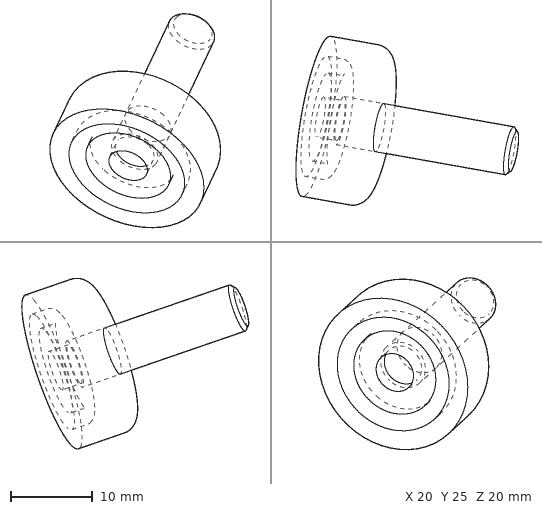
import cadquery as cq

TOTAL_LENGTH = 25.0

HEAD_RADIUS = 10.0
HEAD_LENGTH = 8.0
HEAD_BACK_FILLET = 2.0

GROOVE_OUTER_RADIUS = 7.5
HUB_RADIUS = 5.5
HUB_RECESS = 0.5
GROOVE_WALL_DEPTH = 2.0
groove_round = (GROOVE_OUTER_RADIUS - HUB_RADIUS) / 2
groove_middle_radius = HUB_RADIUS + groove_round
groove_depth = GROOVE_WALL_DEPTH + groove_round

BORE_RADIUS = 2.5
STUD_FRONT = 3.0

STUD_RADIUS = 3.0
STUD_CHAMFER = 0.5


def rod_along_y(radius, start, end):
    """Round rod on the Y axis from Y = start to Y = end."""
    along_y = cq.Plane(origin=(0, start, 0), xDir=(1, 0, 0), normal=(0, 1, 0))
    return cq.Workplane(along_y).circle(radius).extrude(end - start)


def make_groove_cutter():
    """Hub recess and round-bottomed groove, as one turned shape."""
    return (
        cq.Workplane("XY")
        .lineTo(GROOVE_OUTER_RADIUS, 0)
        .lineTo(GROOVE_OUTER_RADIUS, GROOVE_WALL_DEPTH)
        .threePointArc((groove_middle_radius, groove_depth), (HUB_RADIUS, GROOVE_WALL_DEPTH))
        .lineTo(HUB_RADIUS, HUB_RECESS)
        .lineTo(0, HUB_RECESS)
        .close()
        .revolve(360, (0, 0, 0), (0, 1, 0))
    )


def make_head():
    """Cup-shaped head with a bore in front and a socket for the stud behind it."""
    blank = rod_along_y(HEAD_RADIUS, 0, HEAD_LENGTH).edges(">Y").fillet(HEAD_BACK_FILLET)
    bore = rod_along_y(BORE_RADIUS, 0, STUD_FRONT)
    stud_socket = rod_along_y(STUD_RADIUS, STUD_FRONT, HEAD_LENGTH)
    return blank.cut(make_groove_cutter()).cut(bore).cut(stud_socket)


def make_stud():
    """Plain stud, chamfered at its free end."""
    return rod_along_y(STUD_RADIUS, STUD_FRONT, TOTAL_LENGTH).edges(">Y").chamfer(STUD_CHAMFER)


head = make_head()
stud = make_stud()

result = cq.Compound.makeCompound([head.val(), stud.val()])